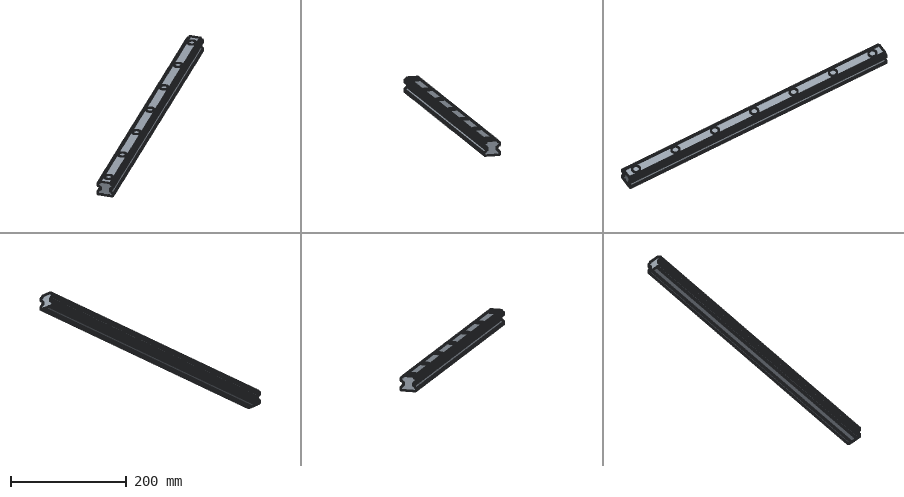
import cadquery as cq

length = 520.0
width = 28.0
height = 26.0
half_width = width / 2

top_half_width = 9.5
top_chamfer = 0.5

head_side_top = 21.5
head_side_bottom = 18.0
head_chamfer = 1.3
ball_groove_radius = 2.85
lower_groove_bottom = 14.0

waist_half_width = 10.0
relief_depth = 1.3
relief_top = 13.5
relief_bottom = 10.0

shoulder_half_width = 13.5
shoulder_bottom = 5.5
base_side_top = 4.95
base_chamfer = 1.5

bottom_groove_offset = 6.0
bottom_groove_width = 1.0
bottom_groove_depth = 0.8

cap_diameter = 14.0
cap_recess = 0.25
hole_count = 7
hole_pitch = 80.0


def half_rail():
    """Extrude the +X half of the rail section along the full length."""
    head_half_width = half_width - head_chamfer
    relief_half_width = waist_half_width - relief_depth
    upper_groove_end = (head_half_width, head_side_top + head_chamfer)
    lower_groove_start = (head_half_width, head_side_bottom - head_chamfer)
    lower_groove_end = (waist_half_width, lower_groove_bottom)
    return (
        cq.Workplane("XZ", origin=(0, length / 2, 0))
        .moveTo(0, height)
        .lineTo(top_half_width, height)
        .lineTo(top_half_width + top_chamfer, height - top_chamfer)
        .radiusArc(upper_groove_end, -ball_groove_radius)
        .lineTo(half_width, head_side_top)
        .lineTo(half_width, head_side_bottom)
        .lineTo(*lower_groove_start)
        .radiusArc(lower_groove_end, -ball_groove_radius)
        .lineTo(waist_half_width, relief_top)
        .lineTo(relief_half_width, relief_top)
        .lineTo(relief_half_width, relief_bottom)
        .lineTo(waist_half_width, relief_bottom)
        .lineTo(shoulder_half_width, shoulder_bottom)
        .lineTo(half_width, base_side_top)
        .lineTo(half_width, base_chamfer)
        .lineTo(half_width - base_chamfer, 0)
        .lineTo(0, 0)
        .close()
        .extrude(length)
    )


def bottom_grooves():
    """Two shallow rectangular grooves running the length of the underside."""
    return (
        cq.Workplane("XY")
        .pushPoints([(-bottom_groove_offset, 0), (bottom_groove_offset, 0)])
        .rect(bottom_groove_width, length)
        .extrude(bottom_groove_depth)
    )


def cap_recesses():
    """Shallow round recesses over the mounting holes, centred along the rail."""
    return (
        cq.Workplane("XY", origin=(0, 0, height - cap_recess))
        .rarray(5, hole_pitch, 1, hole_count)
        .circle(cap_diameter / 2)
        .extrude(cap_recess)
    )


half = half_rail()
rail = half.union(half.mirror("YZ"))
result = rail.cut(bottom_grooves()).cut(cap_recesses())